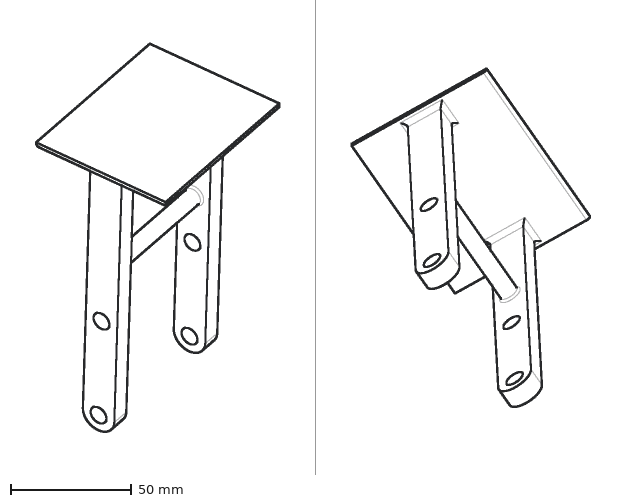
import cadquery as cq
import math

plate_length = 66.0
plate_width = 82.0
plate_thickness = 2.0
plate_edge_radius = 1.7
part_height = 140.9
tilt = 1.7

leg_width = 16.0
leg_thickness = 8.7
leg_spacing = 65.5
leg_fillet = 2.3

hole_diameter = 8.0
hole_pitch = 50.0
rod_pitch = 25.0
rod_diameter = 8.0
rod_fillet = 1.0

end_radius = leg_width / 2
tilt_angle = math.radians(tilt)
plate_min_x = -plate_length / 2
highest_z = part_height - end_radius
plate_top = (highest_z + plate_min_x * math.sin(tilt_angle)) / math.cos(tilt_angle)
plate_bottom = plate_top - plate_thickness
rod_z = hole_pitch + rod_pitch
rod_length = leg_spacing - leg_thickness


def make_plate():
    """Flat plate with its lower -X edge rounded."""
    plate = cq.Workplane("XY").box(
        plate_length, plate_width, plate_thickness, centered=(True, True, False)
    )
    plate = plate.edges("<X and <Z").fillet(plate_edge_radius)
    return plate.translate((0, 0, plate_bottom))


def make_leg(mid_y):
    """Bar with a round lower end, centred on the plane Y = mid_y."""
    return (
        cq.Workplane("XZ", origin=(0, mid_y + leg_thickness / 2, 0))
        .moveTo(-end_radius, 0)
        .threePointArc((0, -end_radius), (end_radius, 0))
        .lineTo(end_radius, plate_bottom)
        .lineTo(-end_radius, plate_bottom)
        .close()
        .extrude(leg_thickness)
    )


def make_rod():
    """Cross rod spanning the gap between the legs."""
    return (
        cq.Workplane("XZ", origin=(0, rod_length / 2, rod_z))
        .circle(rod_diameter / 2)
        .extrude(rod_length)
    )


def make_holes():
    """Pivot and middle holes through both legs."""
    return (
        cq.Workplane("XZ")
        .pushPoints([(0, 0), (0, hole_pitch)])
        .circle(hole_diameter / 2)
        .extrude(plate_width, both=True)
    )


frame = make_plate()
for side in (-1, 1):
    frame = frame.union(make_leg(side * leg_spacing / 2))

joint_margin = 0.1
joint_box = cq.selectors.BoxSelector(
    (-end_radius - joint_margin, -plate_width / 2 + joint_margin, plate_bottom - joint_margin),
    (end_radius + joint_margin, plate_width / 2 - joint_margin, plate_bottom + joint_margin),
)
frame = frame.edges(joint_box).fillet(leg_fillet)

frame = frame.union(make_rod())

rod_reach = rod_diameter / 2 + joint_margin
rod_box = cq.selectors.BoxSelector(
    (-rod_reach, -rod_length / 2 - joint_margin, rod_z - rod_reach),
    (rod_reach, rod_length / 2 + joint_margin, rod_z + rod_reach),
)
frame = frame.edges(rod_box).edges("%CIRCLE").fillet(rod_fillet)

frame = frame.cut(make_holes())
result = frame.rotate((0, 0, 0), (0, 1, 0), tilt)